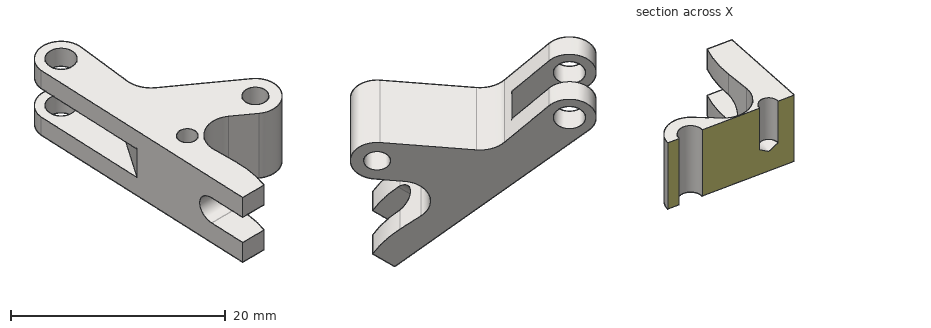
import cadquery as cq
import math

thickness = 8.0
tail_end_x = 26.0
tail_bottom_y = -0.5

end_radius = 2.5
pivot_hole_diameter = 3.0
arm_hole_diameter = 2.5
arm_center = (16.0, 10.0)
arm_angle = 56.5

inner_fillet_radius = 3.0
notch_radius = 2.7
notch_center_x = 18.75
bulge_radius = 12.0
bulge_top = (23.3, 2.5)

fork_gap = 3.5
fork_wall_normal_angle = 60.0
fork_wall_distance = 4.85

tail_slot_width = 3.1
tail_slot_center_x = 22.0

drill_center = (16.0, 1.5)
drill_diameter = 2.0
drill_depth = 5.0
drill_point_angle = 118.0

cutter_size = 40.0


def polar(center, radius, angle):
    """Point at the given radius and angle (degrees) from a center."""
    turn = math.radians(angle)
    return (center[0] + radius * math.cos(turn), center[1] + radius * math.sin(turn))


def notch_center():
    """Center of the notch arc, placed so the arc is tangent to the arm's right flank."""
    turn = math.radians(arm_angle)
    normal_offset = end_radius + notch_radius
    run = notch_center_x - arm_center[0]
    drop = (normal_offset - run * math.sin(turn)) / math.cos(turn)
    return (notch_center_x, arm_center[1] - drop)


def inner_fillet_center():
    """Center of the fillet between the flat upper edge and the arm's left flank."""
    turn = math.radians(arm_angle)
    center_y = end_radius + inner_fillet_radius
    normal_offset = end_radius + inner_fillet_radius
    rise = arm_center[1] - center_y
    run = (normal_offset + rise * math.cos(turn)) / math.sin(turn)
    return (arm_center[0] - run, center_y)


def make_profile():
    """Outline of the lever in the XY plane, extruded to full thickness."""
    left_normal = arm_angle + 90
    right_normal = arm_angle - 90
    fillet = inner_fillet_center()
    notch = notch_center()
    bulge = (bulge_top[0], bulge_top[1] - bulge_radius)

    run = bulge[0] - notch[0]
    rise = bulge[1] - notch[1]
    spread = math.acos((notch_radius + bulge_radius) / math.hypot(run, rise))
    tangent_normal = math.degrees(math.atan2(rise, run) - spread) + 180
    notch_end = polar(notch, notch_radius, tangent_normal + 180)
    bulge_start = polar(bulge, bulge_radius, tangent_normal)
    bulge_end_height = math.sqrt(bulge_radius**2 - (tail_end_x - bulge[0]) ** 2)

    fillet_middle = (-90 + right_normal) / 2
    notch_middle = (left_normal + tangent_normal + 180) / 2

    return (
        cq.Workplane("XY")
        .moveTo(0, -end_radius)
        .threePointArc((-end_radius, 0), (0, end_radius))
        .lineTo(fillet[0], end_radius)
        .threePointArc(
            polar(fillet, inner_fillet_radius, fillet_middle),
            polar(fillet, inner_fillet_radius, right_normal),
        )
        .lineTo(*polar(arm_center, end_radius, left_normal))
        .threePointArc(
            polar(arm_center, end_radius, arm_angle),
            polar(arm_center, end_radius, right_normal),
        )
        .lineTo(*polar(notch, notch_radius, left_normal))
        .threePointArc(polar(notch, notch_radius, notch_middle), notch_end)
        .lineTo(*bulge_start)
        .threePointArc(bulge_top, (tail_end_x, bulge[1] + bulge_end_height))
        .lineTo(tail_end_x, tail_bottom_y)
        .close()
        .extrude(thickness)
    )


def through_hole(center, diameter):
    return cq.Workplane("XY").center(*center).circle(diameter / 2).extrude(thickness)


def fork_slot():
    """Slab that opens the pivot end and stops at the slanted wall."""
    return (
        cq.Workplane("XY")
        .box(cutter_size, cutter_size, fork_gap)
        .translate((fork_wall_distance - cutter_size / 2, 0, thickness / 2))
        .rotate((0, 0, 0), (0, 0, 1), fork_wall_normal_angle)
    )


def tail_slot():
    """Open slot from the tail end, rounded at its inner end."""
    rounded_end = (
        cq.Workplane("XZ")
        .center(tail_slot_center_x, thickness / 2)
        .circle(tail_slot_width / 2)
        .extrude(cutter_size / 2, both=True)
    )
    straight = cq.Workplane("XY").box(
        cutter_size, cutter_size, tail_slot_width, centered=(False, True, True)
    )
    return rounded_end.union(straight.translate((tail_slot_center_x, 0, thickness / 2)))


def drilled_hole():
    """Blind hole with a conical drill point, revolved about its own axis."""
    radius = drill_diameter / 2
    point_length = radius / math.tan(math.radians(drill_point_angle / 2))
    return (
        cq.Workplane("XZ")
        .polyline([(0, 0), (radius, 0), (radius, -drill_depth), (0, -drill_depth - point_length)])
        .close()
        .revolve(360, (0, 0, 0), (0, 1, 0))
        .translate((drill_center[0], drill_center[1], thickness))
    )


result = (
    make_profile()
    .cut(through_hole((0, 0), pivot_hole_diameter))
    .cut(through_hole(arm_center, arm_hole_diameter))
    .cut(fork_slot())
    .cut(tail_slot())
    .cut(drilled_hole())
)